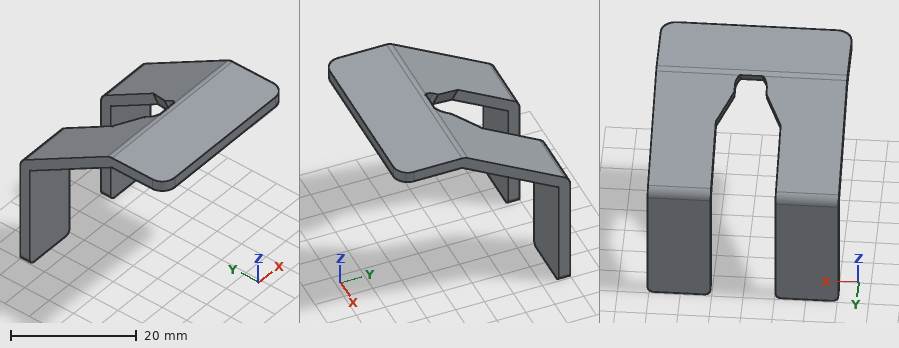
import cadquery as cq
import math

width = 30.4
depth = 29.55
height = 31.3

thickness = 2.0
slope_angle = 30.0
top_length = 10.83
top_corner_radius = 2.5
leg_corner_radius = 1.0

slot_width = 10.33
throat_width = 5.1
taper_start = 8.1
throat_start = 2.95
throat_arc_center = 1.8

slope = math.radians(slope_angle)
leg_front = depth - thickness
upper_bend = (top_length, height - thickness)
lower_bend = (leg_front, upper_bend[1] - (leg_front - top_length) * math.tan(slope))
slope_length = (leg_front - top_length) / math.cos(slope)


def around(bend, angle):
    """Point on the outer bend arc; angle is the tilt of the outward direction from +Z."""
    return (bend[0] + thickness * math.sin(angle), bend[1] + thickness * math.cos(angle))


def make_bent_sheet():
    """Side profile with sharp inside bends and concentric outside bends, extruded along X."""
    right_angle = math.pi / 2
    return (
        cq.Workplane("YZ")
        .moveTo(0, upper_bend[1])
        .lineTo(0, height)
        .lineTo(top_length, height)
        .threePointArc(around(upper_bend, slope / 2), around(upper_bend, slope))
        .lineTo(*around(lower_bend, slope))
        .threePointArc(around(lower_bend, (slope + right_angle) / 2), around(lower_bend, right_angle))
        .lineTo(depth, 0)
        .lineTo(leg_front, 0)
        .lineTo(*lower_bend)
        .lineTo(*upper_bend)
        .close()
        .extrude(width / 2, both=True)
    )


def make_slope_slot():
    """Slot cutter square to the sloped plate, ending flush with the upper bend."""
    slope_plane = cq.Plane(
        origin=(0, *upper_bend),
        xDir=(1, 0, 0),
        normal=(0, math.sin(slope), math.cos(slope)),
    )
    half_slot = slot_width / 2
    radius = throat_width / 2
    end_half_width = math.sqrt(radius**2 - throat_arc_center**2)
    mid_angle = math.atan2(throat_arc_center, end_half_width) / 2
    mid_x = radius * math.cos(mid_angle)
    mid_y = throat_arc_center - radius * math.sin(mid_angle)
    return (
        cq.Workplane(slope_plane)
        .moveTo(-half_slot, slope_length)
        .lineTo(-half_slot, taper_start)
        .lineTo(-radius, throat_start)
        .lineTo(-radius, throat_arc_center)
        .threePointArc((-mid_x, mid_y), (-end_half_width, 0))
        .lineTo(end_half_width, 0)
        .threePointArc((mid_x, mid_y), (radius, throat_arc_center))
        .lineTo(radius, throat_start)
        .lineTo(half_slot, taper_start)
        .lineTo(half_slot, slope_length)
        .close()
        .extrude(thickness)
    )


def make_leg_gap():
    """Cutter that separates the two legs, including the bend above them."""
    gap_depth = 2 * thickness
    gap_height = lower_bend[1] + 2 * thickness
    return cq.Workplane("XY").box(
        slot_width, gap_depth, gap_height, centered=(True, False, False)
    ).translate((0, lower_bend[0], 0))


result = make_bent_sheet().cut(make_slope_slot()).cut(make_leg_gap())
result = result.faces("<Y").edges("|Z").fillet(top_corner_radius)
result = result.faces("<Z").edges("|Y").fillet(leg_corner_radius)